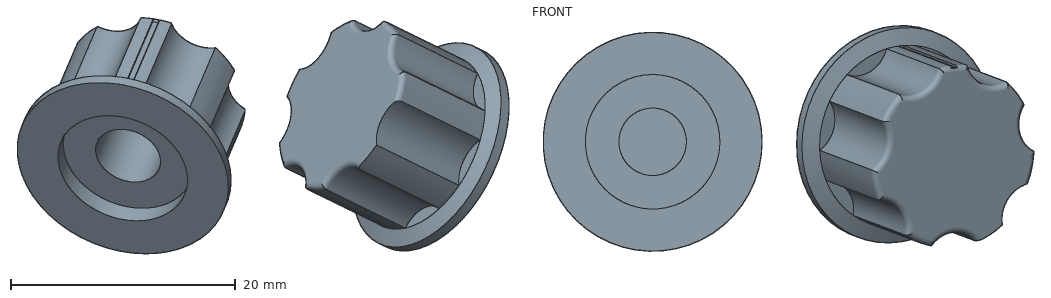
import cadquery as cq
import math

flange_radius = 9.75
knob_radius = 8.25
total_length = 11.5
flange_rim_length = 1.0
flange_length = 1.52
rim_fillet = 0.5

top_angle = 90.0
lobe_count = 7
lobe_half_angle = 10.0
flute_radius = 3.0
lobe_pitch = 360.0 / lobe_count
sharp_end_angle = top_angle + 3 * lobe_pitch + lobe_half_angle
sharp_start_angle = sharp_end_angle - lobe_pitch

recess_radius = 5.99
recess_depth = 1.8
bore_radius = 3.0
bush_length = 6.82

groove_width = 0.57
groove_depth = 0.2
strip_thickness = 0.2

front_y = -total_length / 2
flange_back_y = front_y + flange_length
recess_floor_y = front_y + recess_depth
groove_floor_z = knob_radius - groove_depth
strip_length = total_length - flange_length - rim_fillet


def cylinder(radius, start_y, length, x=0.0, z=0.0):
    """Cylinder along +Y, starting at start_y."""
    return cq.Workplane(cq.Solid.makeCylinder(radius, length, cq.Vector(x, start_y, z), cq.Vector(0, 1, 0)))


def is_sharp_rim_edge(edge):
    """True for the back edges of the one flute and the lobe next to it that stay sharp."""
    middle = edge.positionAt(0.5)
    angle = math.degrees(math.atan2(middle.z, middle.x)) % 360
    return sharp_start_angle < angle < sharp_end_angle


def make_fluted_grip():
    """Seven-lobed grip with its back edge rounded except at one flute and lobe."""
    grip_length = total_length - flange_length
    grip = cylinder(knob_radius, flange_back_y, grip_length)
    flute_half_angle = math.radians(lobe_pitch / 2 - lobe_half_angle)
    half_chord = knob_radius * math.sin(flute_half_angle)
    chord_distance = knob_radius * math.cos(flute_half_angle)
    flute_distance = chord_distance + math.sqrt(flute_radius**2 - half_chord**2)
    for index in range(lobe_count):
        angle = math.radians(top_angle + lobe_pitch * (index + 0.5))
        flute_x = flute_distance * math.cos(angle)
        flute_z = flute_distance * math.sin(angle)
        grip = grip.cut(cylinder(flute_radius, flange_back_y, grip_length, flute_x, flute_z))
    rounded_edges = [edge for edge in grip.faces(">Y").edges().vals() if not is_sharp_rim_edge(edge)]
    return grip.newObject(rounded_edges).fillet(rim_fillet)


def make_flange():
    """Flat rim followed by a cone that narrows to the grip."""
    profile = (
        cq.Workplane("XY")
        .moveTo(0, front_y)
        .lineTo(flange_radius, front_y)
        .lineTo(flange_radius, front_y + flange_rim_length)
        .lineTo(knob_radius, flange_back_y)
        .lineTo(0, flange_back_y)
        .close()
    )
    return profile.revolve(360, (0, 0, 0), (0, 1, 0))


def groove_block(bottom_z, height, length):
    """Bar of groove width on the top lobe, running back from the flange."""
    return (
        cq.Workplane("XY")
        .box(groove_width, length, height, centered=(True, False, False))
        .translate((0, flange_back_y, bottom_z))
    )


def make_knob():
    """Grip and flange with the front recess, bush seat, groove and strip seat."""
    knob = make_fluted_grip().union(make_flange())
    knob = knob.cut(cylinder(recess_radius, front_y, recess_depth + bush_length))
    knob = knob.cut(groove_block(groove_floor_z, groove_depth, total_length - flange_length))
    return knob.cut(make_pointer_strip())


def make_bush():
    """Sleeve that fills the recess from its floor to the end of the bore."""
    sleeve = cylinder(recess_radius, recess_floor_y, bush_length)
    return sleeve.cut(cylinder(bore_radius, recess_floor_y, bush_length))


def make_pointer_strip():
    """Pointer strip sunk flush with the groove floor."""
    return groove_block(groove_floor_z - strip_thickness, strip_thickness, strip_length)


knob = make_knob()
bush = make_bush()
pointer_strip = make_pointer_strip()

result = cq.Compound.makeCompound([knob.val(), bush.val(), pointer_strip.val()])